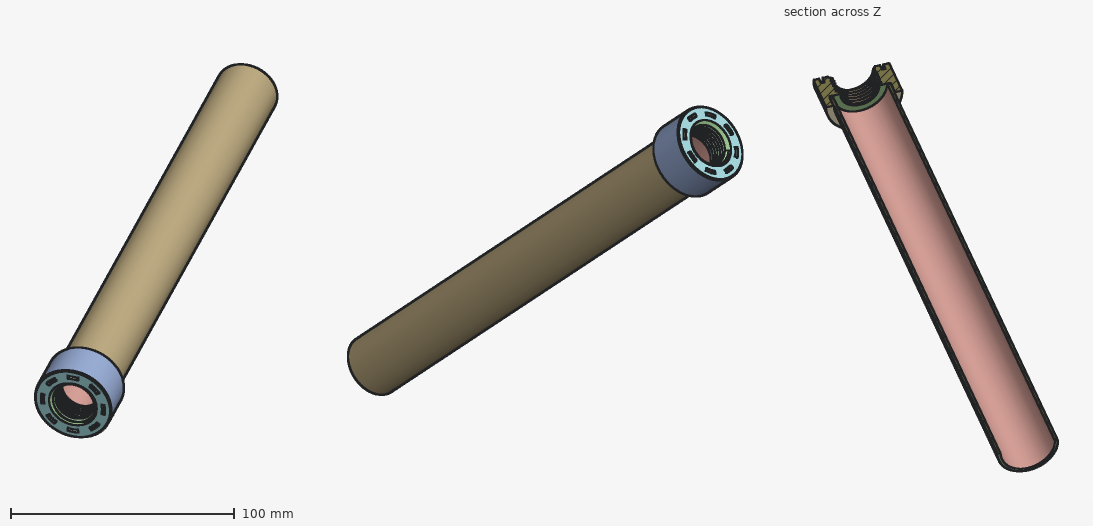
import cadquery as cq
import math

INCH = 25.4

overall_length = 257.18

tube_diameter = 28.57
tube_bore = 25.53

cap_diameter = 35.89
cap_length = 0.75 * INCH
socket_depth = 0.25 * INCH
socket_floor = cap_length - socket_depth
rim_chamfer = 0.5

port_diameter = 18.26
port_mouth_diameter = 22.4
threads_per_inch = 14
thread_angle = 60
thread_pitch = INCH / threads_per_inch
thread_depth = 0.85 * thread_pitch
groove_half_width = thread_depth * math.tan(math.radians(thread_angle / 2))
groove_overlap = 0.05
thread_end_gap = 0.1

pocket_count = 8
pocket_inner_radius = 13.6
pocket_outer_radius = 15.05
pocket_half_angle = 10
pocket_depth = 3.0


def cylinder(diameter, start, end):
    """Round bar along Y between two Y positions."""
    return cq.Workplane("XZ", origin=(0, start, 0)).circle(diameter / 2).extrude(start - end)


def polar(radius, degrees):
    """Point on a circle around the axis."""
    angle = math.radians(degrees)
    return radius * math.cos(angle), radius * math.sin(angle)


def port_mouth():
    """45 degree countersink at the open end of the port."""
    mouth_radius = port_mouth_diameter / 2
    return (
        cq.Workplane("XY")
        .polyline([(0, 0), (mouth_radius, 0), (0, mouth_radius)])
        .close()
        .revolve(360, (0, 0, 0), (0, 1, 0))
    )


def thread_groove():
    """Helical V groove that starts in the port's mouth and ends just short of the socket."""
    port_radius = port_diameter / 2
    open_radius = port_radius - groove_overlap
    helix_start = groove_half_width + thread_end_gap
    helix_height = socket_floor - 2 * helix_start
    helix = cq.Wire.makeHelix(thread_pitch, helix_height, port_radius)
    groove = (
        cq.Workplane("XZ")
        .polyline(
            [
                (open_radius, -groove_half_width),
                (port_radius + thread_depth, 0),
                (open_radius, groove_half_width),
            ]
        )
        .close()
        .sweep(cq.Workplane(helix), isFrenet=True)
    )
    return groove.rotate((0, 0, 0), (1, 0, 0), -90).translate((0, helix_start, 0))


def face_pocket(middle_angle):
    """Ring-segment pocket centred on an angle around the cap's axis."""
    first = middle_angle - pocket_half_angle
    last = middle_angle + pocket_half_angle
    return (
        cq.Workplane("XZ")
        .moveTo(*polar(pocket_inner_radius, first))
        .lineTo(*polar(pocket_outer_radius, first))
        .threePointArc(polar(pocket_outer_radius, middle_angle), polar(pocket_outer_radius, last))
        .lineTo(*polar(pocket_inner_radius, last))
        .threePointArc(polar(pocket_inner_radius, middle_angle), polar(pocket_inner_radius, first))
        .close()
        .extrude(-pocket_depth)
    )


def make_cap():
    """Cap with the tube's socket at its back and the threaded port at its front."""
    cap = cylinder(cap_diameter, 0, cap_length).faces("<Y").chamfer(rim_chamfer)
    cap = cap.cut(cylinder(tube_diameter, socket_floor, cap_length))
    cap = cap.cut(cylinder(port_diameter, 0, socket_floor))
    cap = cap.cut(thread_groove())
    cap = cap.cut(port_mouth())
    for index in range(pocket_count):
        cap = cap.cut(face_pocket(index * 360 / pocket_count))
    return cap


def make_tube():
    """Plain tube standing on the socket floor, open at both ends."""
    tube = cylinder(tube_diameter, socket_floor, overall_length)
    return tube.cut(cylinder(tube_bore, socket_floor, overall_length))


cap = make_cap()
tube = make_tube()
result = cq.Compound.makeCompound([cap.val(), tube.val()])